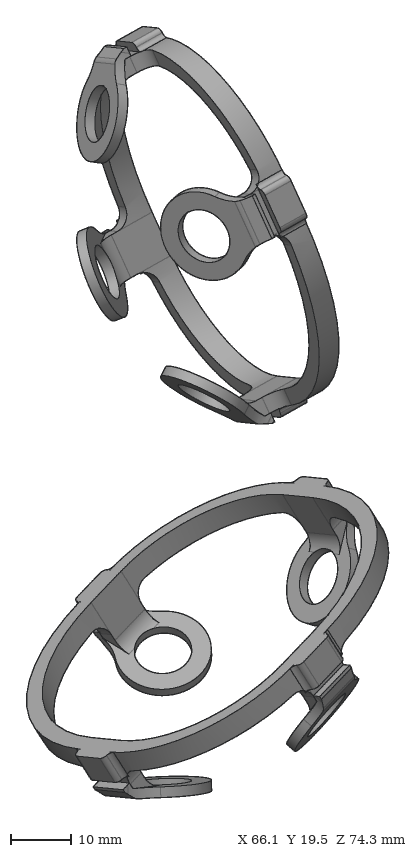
import cadquery as cq
import math

OVERALL_WIDTH = 66.12
OVERALL_HEIGHT = 74.32
OVERALL_DEPTH = 19.48
RING_WALL = 3.0
RING_DEPTH = 4.0

HOOK_WIDTH = 8.0
FOOT_FILLET = 3.0

OUTER_RISE = 1.7
PAD_DEPTH = 5.25
PAD_BLEND_RADIUS = 1.0
GROOVE_WIDTH = 1.5
LIP_THICKNESS = 0.6
SLANT_ANGLE = 65.0
FOLD_RADIUS = 1.8
BEND_RADIUS = 3.5

EYE_TILT = 35.0
EYE_RADIUS = 8.0
EYE_HOLE_DIAMETER = 9.5
EYE_THICKNESS = 1.8
EYE_DISTANCE = 26.7
NECK_RADIUS = 8.0

DIAGONAL = math.sqrt(2)
ARC_GAIN = DIAGONAL - 1
HALF_WIDTH = HOOK_WIDTH / 2
STRETCH_SHIFT = (OVERALL_HEIGHT - OVERALL_WIDTH) / (4 * ARC_GAIN)
STRETCH_DISTANCE = (OVERALL_HEIGHT + OVERALL_WIDTH) / 4 - ARC_GAIN * HALF_WIDTH

OUTER_X = STRETCH_DISTANCE
INNER_X = OUTER_X - RING_WALL
LIP_X = OUTER_X + OUTER_RISE
LIP_BACK_Z = PAD_DEPTH + GROOVE_WIDTH
LIP_FRONT_Z = LIP_BACK_Z + LIP_THICKNESS

TILT = math.radians(EYE_TILT)
SLANT_SLOPE = math.tan(math.radians(SLANT_ANGLE))
EYE_Z = OVERALL_DEPTH - EYE_RADIUS * math.sin(TILT)
EYE_PLANE = cq.Plane(
    origin=(EYE_DISTANCE, 0, EYE_Z),
    xDir=(math.cos(TILT), 0, -math.sin(TILT)),
    normal=(math.sin(TILT), 0, math.cos(TILT)),
)


def plate_point(x, depth):
    """Point (x, z) that lies `depth` behind the eye plate's front face."""
    return (x, EYE_Z - (x - EYE_DISTANCE) * math.tan(TILT) - depth / math.cos(TILT))


def round_corner(before, corner, after, radius):
    """Start, middle and end of the arc that rounds a corner of an outline."""
    corner = cq.Vector(*corner)
    to_before = (cq.Vector(*before) - corner).normalized()
    to_after = (cq.Vector(*after) - corner).normalized()
    half_angle = to_before.getAngle(to_after) / 2
    setback = radius / math.tan(half_angle)
    middle_gap = radius / math.sin(half_angle) - radius
    start = corner + to_before * setback
    middle = corner + (to_before + to_after).normalized() * middle_gap
    end = corner + to_after * setback
    return [point.toTuple()[:2] for point in (start, middle, end)]


def make_oval(inset, depth):
    """Solid oval from the ring's back face forward, its outline moved in by `inset`."""
    distance = STRETCH_DISTANCE - inset
    half_width = OVERALL_WIDTH / 2 - inset
    half_height = OVERALL_HEIGHT / 2 - inset
    side_end = STRETCH_SHIFT - HALF_WIDTH
    top_end = STRETCH_SHIFT + HALF_WIDTH
    side_x = (distance - side_end) / DIAGONAL
    side_z = (distance + side_end) / DIAGONAL
    top_x = (distance - top_end) / DIAGONAL
    top_z = (distance + top_end) / DIAGONAL
    return (
        cq.Workplane("XZ")
        .moveTo(side_x, side_z)
        .lineTo(top_x, top_z)
        .threePointArc((0, half_height), (-top_x, top_z))
        .lineTo(-side_x, side_z)
        .threePointArc((-half_width, 0), (-side_x, -side_z))
        .lineTo(-top_x, -top_z)
        .threePointArc((0, -half_height), (top_x, -top_z))
        .lineTo(side_x, -side_z)
        .threePointArc((half_width, 0), (side_x, side_z))
        .close()
        .extrude(depth)
    )


def make_band(depth):
    """Oval band with the ring's outline."""
    return make_oval(0, depth).cut(make_oval(RING_WALL, depth))


def make_foot_blank():
    """Block on the ring's front face, hollowed to a fillet at both ends of the leg."""
    blank_width = 2 * RING_WALL
    inner_x = OUTER_X - blank_width
    fillet_y = HALF_WIDTH + FOOT_FILLET
    fillet_z = RING_DEPTH + FOOT_FILLET
    foot = cq.Workplane("XY").box(blank_width, 2 * fillet_y, FOOT_FILLET, centered=(False, True, False))
    foot = foot.translate((inner_x, 0, RING_DEPTH))
    hollows = (
        cq.Workplane("YZ", origin=(inner_x, 0, 0))
        .pushPoints([(-fillet_y, fillet_z), (fillet_y, fillet_z)])
        .circle(FOOT_FILLET)
        .extrude(blank_width)
    )
    return foot.cut(hollows)


def make_pad():
    """Pad on the outer side of the ring, running out in an S curve at both ends."""
    turn = math.acos(1 - OUTER_RISE / (2 * PAD_BLEND_RADIUS))
    arc_run = PAD_BLEND_RADIUS * math.sin(turn)
    half_pad = (
        cq.Workplane("XY")
        .moveTo(LIP_X, 0)
        .lineTo(LIP_X, HALF_WIDTH - arc_run)
        .tangentArcPoint((OUTER_X + OUTER_RISE / 2, HALF_WIDTH), relative=False)
        .tangentArcPoint((OUTER_X, HALF_WIDTH + arc_run), relative=False)
        .lineTo(OUTER_X, 0)
        .close()
        .extrude(PAD_DEPTH)
    )
    return half_pad.union(half_pad.mirror("XZ"))


def make_leg():
    """Leg from the ring into the eye plate, curving into the plate's back on the inner side."""
    corner = plate_point(INNER_X, EYE_THICKNESS)
    bend = round_corner((INNER_X, RING_DEPTH), corner, plate_point(EYE_DISTANCE, EYE_THICKNESS), BEND_RADIUS)
    bend_start, bend_middle, bend_end = bend
    return (
        cq.Workplane("XZ", origin=(0, HALF_WIDTH, 0))
        .moveTo(INNER_X, 0)
        .lineTo(OUTER_X, 0)
        .lineTo(OUTER_X, LIP_FRONT_Z)
        .lineTo(*plate_point(OUTER_X, EYE_THICKNESS / 2))
        .lineTo(*plate_point(bend_end[0], EYE_THICKNESS / 2))
        .lineTo(*bend_end)
        .threePointArc(bend_middle, bend_start)
        .close()
        .extrude(HOOK_WIDTH)
    )


def make_eye_section():
    """Side section of lip, slant and tilted plate, extruded wider than the eye."""
    tip_x = EYE_DISTANCE - EYE_RADIUS
    plate_tip = plate_point(tip_x, 0)
    plate_slope = math.tan(TILT)
    rise_to_plate = plate_point(LIP_X, 0)[1] - LIP_FRONT_Z
    fold_x = LIP_X - rise_to_plate / (SLANT_SLOPE - plate_slope)
    fold = round_corner((LIP_X, LIP_FRONT_Z), plate_point(fold_x, 0), plate_tip, FOLD_RADIUS)
    fold_start, fold_middle, fold_end = fold
    return (
        cq.Workplane("XZ", origin=(0, 2 * EYE_RADIUS, 0))
        .moveTo(OUTER_X, LIP_BACK_Z)
        .lineTo(LIP_X, LIP_BACK_Z)
        .lineTo(LIP_X, LIP_FRONT_Z)
        .lineTo(*fold_start)
        .threePointArc(fold_middle, fold_end)
        .lineTo(*plate_tip)
        .lineTo(*plate_point(tip_x, EYE_THICKNESS))
        .lineTo(*plate_point(OUTER_X, EYE_THICKNESS))
        .close()
        .extrude(4 * EYE_RADIUS)
    )


def make_eye_outline():
    """Prism square to the eye plate: round eye, concave neck and a strip of the hook's width."""
    reach = 2 * EYE_RADIUS
    neck_y = HALF_WIDTH + NECK_RADIUS
    neck_x = math.sqrt((EYE_RADIUS + NECK_RADIUS) ** 2 - neck_y**2)
    eye_share = EYE_RADIUS / (EYE_RADIUS + NECK_RADIUS)
    joint_x = neck_x * eye_share
    joint_y = neck_y * eye_share
    return (
        cq.Workplane(EYE_PLANE)
        .moveTo(reach, -HALF_WIDTH)
        .lineTo(neck_x, -HALF_WIDTH)
        .tangentArcPoint((joint_x, -joint_y), relative=False)
        .threePointArc((-EYE_RADIUS, 0), (joint_x, joint_y))
        .tangentArcPoint((neck_x, HALF_WIDTH), relative=False)
        .lineTo(reach, HALF_WIDTH)
        .close()
        .extrude(reach, both=True)
    )


def make_hook():
    """Leg, pad and eye in the hook frame."""
    eye = make_eye_section().intersect(make_eye_outline())
    hole = cq.Workplane(EYE_PLANE).circle(EYE_HOLE_DIAMETER / 2).extrude(-2 * EYE_THICKNESS)
    return make_leg().union(make_pad()).union(eye).cut(hole)


def place_on_ring(shape):
    """Move a shape from the hook frame onto the upper straight stretch on the -X side."""
    stretch_middle = (STRETCH_SHIFT / DIAGONAL, 0, STRETCH_SHIFT / DIAGONAL)
    frame = cq.Plane(origin=stretch_middle, xDir=(-1, 0, 1), normal=(0, -1, 0))
    return cq.Workplane(shape.val().moved(cq.Location(frame)))


ring = make_band(RING_DEPTH)
foot = place_on_ring(make_foot_blank()).intersect(make_band(RING_DEPTH + FOOT_FILLET))
upper_left = place_on_ring(make_hook()).union(foot)
upper_pair = upper_left.union(upper_left.mirror("YZ"))
result = ring.union(upper_pair).union(upper_pair.mirror("XY"))